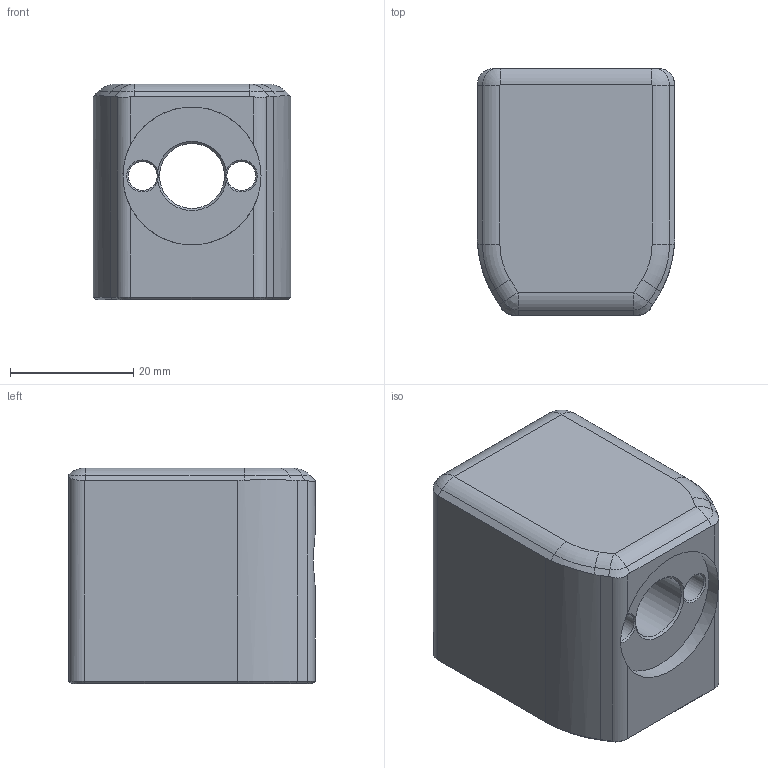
import cadquery as cq
import math

width = 32.0
length = 40.0
height = 35.0
half_width = width / 2
front_y = -length / 2
back_y = length / 2

nose_half_width = 11.4
taper_start_y = -12.65
body_corner_radius = 2.6
body_shoulder_radius = 18.4

crown_bevel = 2.0
crown_radius = 4.0
crown_back_overhang = 1.0
crown_shoulder_radius = 14.5
crown_corner_clearance = 0.05
crown_margin = 1.0
crown_inset = crown_bevel + crown_radius * math.tan(math.radians(45 / 2))
crown_corner_radius = crown_inset + crown_corner_clearance

bottom_chamfer = 0.4

bore_z = 20.1
recess_diameter = 22.4
recess_depth = 2.5
bore_diameter = 10.52
side_hole_diameter = 4.7
side_hole_offset = 8.0
bore_chamfer = 0.35
side_hole_chamfer = 0.25


def rounded_prism(rear_y, margin, corner_radius, shoulder_radius):
    """Full-height prism on the plan outline grown by margin, with its vertical edges rounded."""
    right_side = [
        (nose_half_width, front_y),
        (half_width, taper_start_y),
        (half_width, rear_y),
    ]
    left_side = [(-x, y) for x, y in reversed(right_side)]
    outline = cq.Workplane("XY").polyline(right_side + left_side).close()
    if margin > 0:
        outline = outline.offset2D(margin, "intersection")
    prism = outline.extrude(height)
    prism = prism.edges("|Z").edges(">>Y[1]").fillet(shoulder_radius)
    return prism.edges("|Z and (<Y or >Y)").fillet(corner_radius)


def make_body():
    body = rounded_prism(back_y, 0, body_corner_radius, body_shoulder_radius)
    return body.faces("<Z").chamfer(bottom_chamfer)


def make_crown():
    """Envelope that shapes the top; its walls stand outside the body by crown_margin."""
    crown = rounded_prism(
        back_y + crown_back_overhang,
        crown_margin,
        crown_corner_radius + crown_margin,
        crown_shoulder_radius + crown_margin,
    )
    crown = crown.faces(">Z").chamfer(crown_bevel + crown_margin)
    return crown.faces(">Z").edges().fillet(crown_radius)


def cylinder_from(start_y, x, diameter, depth):
    """Cylinder along +Y starting at start_y, on the bore height."""
    plane = cq.Plane(origin=(x, start_y, bore_z), xDir=(1, 0, 0), normal=(0, 1, 0))
    return cq.Workplane(plane).circle(diameter / 2).extrude(depth)


def chamfered_hole(x, diameter, chamfer):
    """Through hole from the recess floor to the back face, with a chamfered mouth."""
    floor_y = front_y + recess_depth
    hole = cylinder_from(floor_y, x, diameter, back_y - floor_y)
    radius = diameter / 2
    mouth = cq.Solid.makeCone(
        radius + chamfer,
        radius,
        chamfer,
        pnt=cq.Vector(x, floor_y, bore_z),
        dir=cq.Vector(0, 1, 0),
    )
    return hole.union(cq.Workplane(mouth))


result = make_body().intersect(make_crown())
result = result.cut(cylinder_from(front_y, 0, recess_diameter, recess_depth))
result = result.cut(chamfered_hole(0, bore_diameter, bore_chamfer))
for side in (-1, 1):
    result = result.cut(chamfered_hole(side * side_hole_offset, side_hole_diameter, side_hole_chamfer))